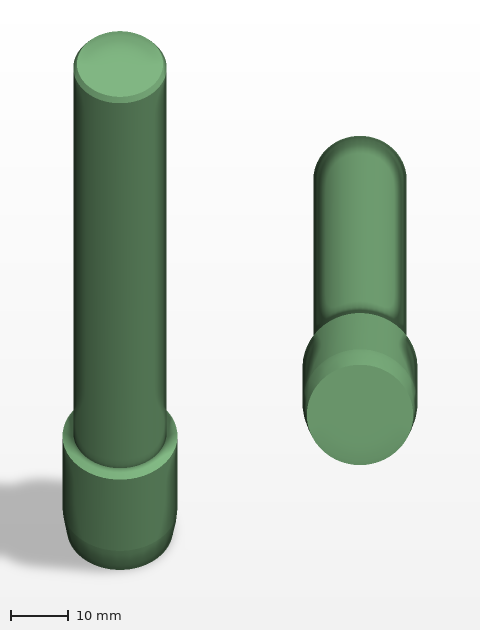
import cadquery as cq

pin_length = 125.0
pin_radius = 8.1
pin_tip_radius = 7.5
pin_chamfer_height = 1.0
collar_radius = 10.0
collar_height = 26.0
shoulder_height = 0.9
lead_height = 6.0
lead_end_radius = 9.2
lead_middle_radius = 9.8


def make_pin():
    """Straight pin with a chamfered top, standing on the base plane."""
    return (
        cq.Workplane("YZ")
        .lineTo(pin_radius, 0)
        .lineTo(pin_radius, pin_length - pin_chamfer_height)
        .lineTo(pin_tip_radius, pin_length)
        .lineTo(0, pin_length)
        .close()
        .revolve(360, (0, 0, 0), (0, 1, 0))
    )


def make_collar():
    """Sleeve around the pin, with a conical top and a bulged lead-in."""
    return (
        cq.Workplane("YZ")
        .moveTo(pin_radius, 0)
        .lineTo(lead_end_radius, 0)
        .threePointArc((lead_middle_radius, lead_height / 2), (collar_radius, lead_height))
        .lineTo(collar_radius, collar_height - shoulder_height)
        .lineTo(pin_radius, collar_height)
        .close()
        .revolve(360, (0, 0, 0), (0, 1, 0))
    )


pin = make_pin()
collar = make_collar()

result = cq.Compound.makeCompound([pin.val(), collar.val()])